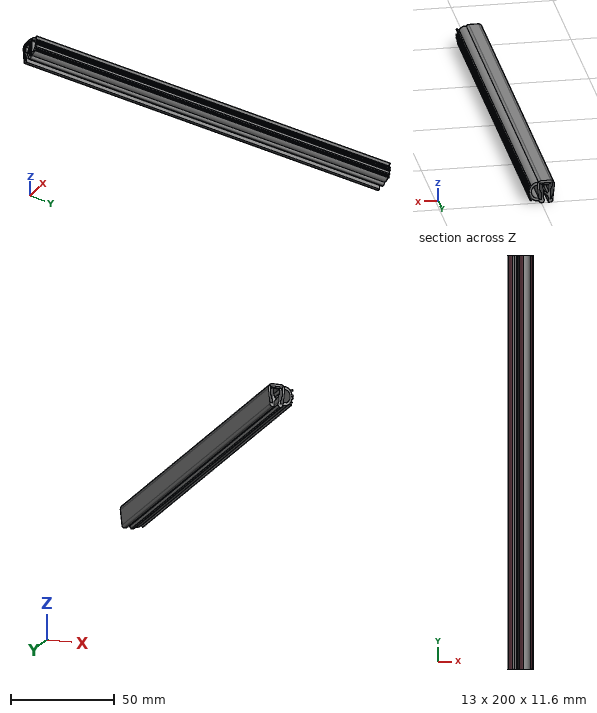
import cadquery as cq
import math

LENGTH = 200.0
CARRIER_X = -2.2

TOP_Z = 5.8
FOOT_Z = -TOP_Z
TOP_HALF = 2.5
SHOULDER_HALF = 4.2
SHOULDER_Z = 3.2
HEEL_HALF = 3.5
HEEL_Z = -4.5
FOOT_HALF = 2.2

SLOT_TOP_Z = 3.5
SLOT_HALF = 1.5
SLOT_MOUTH_HALF = 1.2
LIP_HALF = 0.5
LIP_Z = -4.5
LIP_ROOT_Z = -3.0
LIP_FOOT_HALF = 1.5

FIN_ROOT_TOP_Z = 0.5
FIN_ROOT_BOTTOM_Z = -3.2
FIN_VALLEY = (-2.8, -1.0)
FIN_TIP_TOP = (-1.0, 1.0)
FIN_TIP_BOTTOM = (-1.2, -0.5)

CLIP_THICKNESS = 0.7
CLIP_TOP_Z = 4.5
CLIP_TOP_HALF = 3.2
CLIP_END_HALF = 2.8
CLIP_END_Z = -4.0

BULB_X = 1.9
BULB_Z = 0.2
BULB_OUTER_WIDTH = 4.0
BULB_OUTER_HEIGHT = 4.9
BULB_INNER_WIDTH = 3.0
BULB_INNER_HEIGHT = 3.5

RIB_TIPS = [(6.2, 3.8), (6.5, 1.0), (6.5, -0.5), (5.8, -2.8), (5.5, -4.2)]
RIB_ROOT_WIDTH = 1.0
RIB_TIP_WIDTH = 0.5


def section(x=0.0, z=0.0):
    """Sketch plane at the front end; extruding by -LENGTH runs towards +Y."""
    return cq.Workplane("XZ", origin=(x, -LENGTH / 2, z))


def make_envelope():
    """Carrier outline filled solid, without its slot."""
    diagonal = math.sqrt(0.5)
    mid_half = TOP_HALF + (SHOULDER_HALF - TOP_HALF) * diagonal
    mid_z = SHOULDER_Z + (TOP_Z - SHOULDER_Z) * diagonal
    heel_mid_half = FOOT_HALF + (HEEL_HALF - FOOT_HALF) * diagonal
    heel_mid_z = HEEL_Z + (FOOT_Z - HEEL_Z) * diagonal
    return (
        section(CARRIER_X)
        .moveTo(-TOP_HALF, TOP_Z)
        .lineTo(TOP_HALF, TOP_Z)
        .threePointArc((mid_half, mid_z), (SHOULDER_HALF, SHOULDER_Z))
        .lineTo(HEEL_HALF, HEEL_Z)
        .threePointArc((heel_mid_half, heel_mid_z), (FOOT_HALF, FOOT_Z))
        .lineTo(-FOOT_HALF, FOOT_Z)
        .threePointArc((-heel_mid_half, heel_mid_z), (-HEEL_HALF, HEEL_Z))
        .lineTo(-SHOULDER_HALF, SHOULDER_Z)
        .threePointArc((-mid_half, mid_z), (-TOP_HALF, TOP_Z))
        .close()
        .extrude(-LENGTH)
    )


def make_slot():
    """Panel slot, narrowed at the mouth by a lip on the right leg."""
    outline = [
        (-SLOT_HALF, SLOT_TOP_Z),
        (SLOT_HALF, SLOT_TOP_Z),
        (SLOT_MOUTH_HALF, LIP_ROOT_Z),
        (LIP_HALF, LIP_Z),
        (LIP_FOOT_HALF, FOOT_Z),
        (-SLOT_MOUTH_HALF, FOOT_Z),
        (-SLOT_MOUTH_HALF, LIP_ROOT_Z),
    ]
    return section(CARRIER_X).polyline(outline).close().extrude(-LENGTH)


def make_fin():
    """Gripping fin, rooted inside the left leg."""
    root_x = CARRIER_X - SLOT_HALF
    outline = [
        (root_x, FIN_ROOT_TOP_Z),
        FIN_VALLEY,
        FIN_TIP_TOP,
        FIN_TIP_BOTTOM,
        (CARRIER_X - SLOT_MOUTH_HALF, FIN_ROOT_BOTTOM_Z),
        (root_x, FIN_ROOT_BOTTOM_Z),
    ]
    return section().polyline(outline).close().extrude(-LENGTH)


def make_clip():
    """U-shaped clip embedded in the carrier."""
    inner_top_half = CLIP_TOP_HALF - CLIP_THICKNESS
    inner_end_half = CLIP_END_HALF - CLIP_THICKNESS
    inner_top_z = CLIP_TOP_Z - CLIP_THICKNESS
    outline = [
        (-CLIP_END_HALF, CLIP_END_Z),
        (-CLIP_TOP_HALF, CLIP_TOP_Z),
        (CLIP_TOP_HALF, CLIP_TOP_Z),
        (CLIP_END_HALF, CLIP_END_Z),
        (inner_end_half, CLIP_END_Z),
        (inner_top_half, inner_top_z),
        (-inner_top_half, inner_top_z),
        (-inner_end_half, CLIP_END_Z),
    ]
    return section(CARRIER_X).polyline(outline).close().extrude(-LENGTH)


def make_rib(tip_x, tip_z):
    """Tapered rib from the middle of the bulb wall out to its tip."""
    angle = math.atan2(
        (tip_z - BULB_Z) / BULB_OUTER_HEIGHT, (tip_x - BULB_X) / BULB_OUTER_WIDTH
    )
    root_x = BULB_X + (BULB_OUTER_WIDTH + BULB_INNER_WIDTH) / 2 * math.cos(angle)
    root_z = BULB_Z + (BULB_OUTER_HEIGHT + BULB_INNER_HEIGHT) / 2 * math.sin(angle)
    reach = math.hypot(tip_x - root_x, tip_z - root_z)
    across_x = -(tip_z - root_z) / reach
    across_z = (tip_x - root_x) / reach

    def beside(x, z, offset):
        return (x + offset * across_x, z + offset * across_z)

    outline = [
        beside(root_x, root_z, -RIB_ROOT_WIDTH / 2),
        beside(tip_x, tip_z, -RIB_TIP_WIDTH / 2),
        beside(tip_x, tip_z, RIB_TIP_WIDTH / 2),
        beside(root_x, root_z, RIB_ROOT_WIDTH / 2),
    ]
    return section().polyline(outline).close().extrude(-LENGTH)


def make_bulb(envelope):
    """Ribbed bulb wall, open where it meets the right leg of the carrier."""
    bulb = (
        section(BULB_X, BULB_Z)
        .ellipse(BULB_OUTER_WIDTH, BULB_OUTER_HEIGHT)
        .ellipse(BULB_INNER_WIDTH, BULB_INNER_HEIGHT)
        .extrude(-LENGTH)
    )
    for tip_x, tip_z in RIB_TIPS:
        bulb = bulb.union(make_rib(tip_x, tip_z))
    return bulb.cut(envelope)


envelope = make_envelope()
clip = make_clip()
carrier = envelope.cut(make_slot()).union(make_fin()).cut(clip)
bulb = make_bulb(envelope)

result = cq.Compound.makeCompound([carrier.val(), clip.val(), bulb.val()])